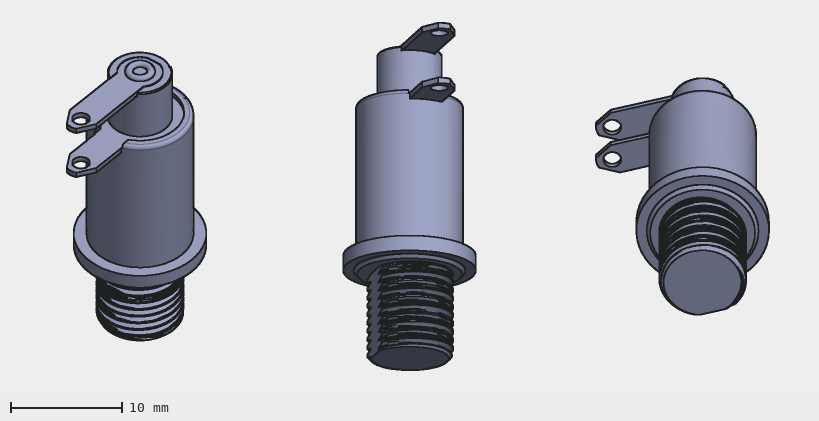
import cadquery as cq
import math

stem_length = 7.95
flange_bottom = 8.3
flange_top = 9.7
rim_top = 23.9
recess_floor = 23.5
tower_top = 28.58
upper_lug_top = 28.65
total_height = 29.05

flange_radius = 11.94 / 2
collar_radius = 10.05 / 2
collar_chamfer = 0.32
body_radius = 9.65 / 2
rim_round = 0.38
recess_radius = 7.93 / 2
tower_radius = 5.85 / 2
tower_chamfer = 0.12
notch_wall_radius = 2.8

crest_radius = 3.92
root_radius = 3.48
thread_pitch = 0.78
crest_land = 0.17
crest_clearance = 0.03
root_land = 0.03
flank_points = 8
crest_height = 0.2
flat_distance = 3.3

lug_width = 3.08
lug_thickness = 0.52
lug_reach = 15.85 - flange_radius
lug_hole_radius = 1.6 / 2
lug_hole_distance = 8.42
lug_shoulder_distance = 8.13
lug_tip_width = 1.1
slot_width = 3.2

lug_head_radius = 2.05
lug_head_back = 1.95
rivet_outer_radius = 2.73 / 2
rivet_hole_radius = 1.28 / 2


def cylinder(radius, bottom, top):
    return cq.Workplane("XY").workplane(offset=bottom).circle(radius).extrude(top - bottom)


def make_stem():
    """Right-hand threaded stem with a chamfered end and one flat along it.

    Every cross-section of the thread is the same outline, turned once per pitch: a crest arc
    and a root arc joined by two spirals, whose radius changes evenly with angle.
    """
    thread_depth = crest_radius - root_radius
    half_crest = math.pi * crest_land / thread_pitch
    half_root = math.pi * root_land / thread_pitch

    def point(radius, angle):
        return (radius * math.cos(angle), radius * math.sin(angle))

    def flank(side):
        """Spiral from crest to root, on the side +1 or -1 of the crest."""
        sweep_angle = math.pi - half_crest - half_root
        fractions = [step / flank_points for step in range(flank_points + 1)]
        return [
            point(crest_radius - thread_depth * part, side * (half_crest + sweep_angle * part))
            for part in fractions
        ]

    thread = (
        cq.Workplane("XY")
        .moveTo(*point(crest_radius, -half_crest))
        .threePointArc(point(crest_radius, 0), point(crest_radius, half_crest))
        .spline(flank(1)[1:], includeCurrent=True)
        .threePointArc(point(root_radius, math.pi), point(root_radius, math.pi + half_root))
        .spline(flank(-1)[-2::-1], includeCurrent=True)
        .close()
        .twistExtrude(flange_bottom, 360 * flange_bottom / thread_pitch)
        .rotate((0, 0, 0), (0, 0, 1), -360 * crest_height / thread_pitch)
    )
    envelope = cylinder(crest_radius + crest_clearance, 0, flange_bottom).faces("<Z").chamfer(thread_depth)
    flat_cut = cq.Workplane("XY").box(
        crest_radius, 2 * crest_radius, flange_bottom, centered=(False, True, False)
    ).translate((-flat_distance - crest_radius, 0, 0))
    return thread.intersect(envelope.cut(flat_cut))


def make_body():
    """Collar, flange, rimmed barrel and the insulating tower rising from the recess."""
    collar = cylinder(collar_radius, stem_length, flange_top).faces("<Z").chamfer(collar_chamfer)
    flange = cylinder(flange_radius, flange_bottom, flange_top)
    barrel = cylinder(body_radius, flange_bottom, rim_top).faces(">Z").edges().fillet(rim_round)
    barrel = barrel.cut(cylinder(recess_radius, recess_floor, rim_top))
    rim_slot = cq.Workplane("XY").box(
        slot_width, body_radius, rim_top - recess_floor, centered=(True, False, False)
    ).translate((0, -body_radius, recess_floor))
    tower = cylinder(tower_radius, flange_top, tower_top).faces(">Z").chamfer(tower_chamfer)
    notch = cq.Workplane("XY").box(
        slot_width, 2 * tower_radius, lug_thickness, centered=(True, True, False)
    ).translate((0, 0, upper_lug_top - lug_thickness))
    tower = tower.cut(notch.cut(cylinder(notch_wall_radius, flange_top, total_height)))
    return collar.union(flange).union(barrel.cut(rim_slot)).union(tower)


def make_lug(top):
    """Flat tab from the axis to a tapered tip with a wire hole."""
    half_width = lug_width / 2
    half_tip = lug_tip_width / 2
    tip_radius = lug_reach - lug_hole_distance
    tip_corner = -lug_hole_distance - math.sqrt(tip_radius**2 - half_tip**2)
    return (
        cq.Workplane("XY")
        .workplane(offset=top - lug_thickness)
        .moveTo(-half_width, 0)
        .lineTo(-half_width, -lug_shoulder_distance)
        .lineTo(-half_tip, tip_corner)
        .threePointArc((0, -lug_reach), (half_tip, tip_corner))
        .lineTo(half_width, -lug_shoulder_distance)
        .lineTo(half_width, 0)
        .close()
        .moveTo(0, -lug_hole_distance)
        .circle(lug_hole_radius)
        .extrude(lug_thickness)
    )


def make_lug_head():
    """Round head of the upper lug, cut straight across at the back."""
    head = cylinder(lug_head_radius, upper_lug_top - lug_thickness, upper_lug_top)
    keep = cq.Workplane("XY").box(
        2 * lug_head_radius, lug_head_radius + lug_head_back, total_height, centered=(True, False, False)
    ).translate((0, -lug_head_radius, 0))
    return head.intersect(keep)


def make_rivet():
    """Rolled rivet edge: a half-round ring standing on the upper lug."""
    return (
        cq.Workplane("XZ")
        .moveTo(rivet_hole_radius, upper_lug_top)
        .threePointArc(
            ((rivet_hole_radius + rivet_outer_radius) / 2, total_height),
            (rivet_outer_radius, upper_lug_top),
        )
        .lineTo(rivet_outer_radius, upper_lug_top - lug_thickness)
        .lineTo(rivet_hole_radius, upper_lug_top - lug_thickness)
        .close()
        .revolve(360, (0, 0, 0), (0, 1, 0))
    )


result = (
    make_body()
    .union(make_stem())
    .union(make_lug(recess_floor))
    .union(make_lug(upper_lug_top))
    .union(make_lug_head())
    .union(make_rivet())
)